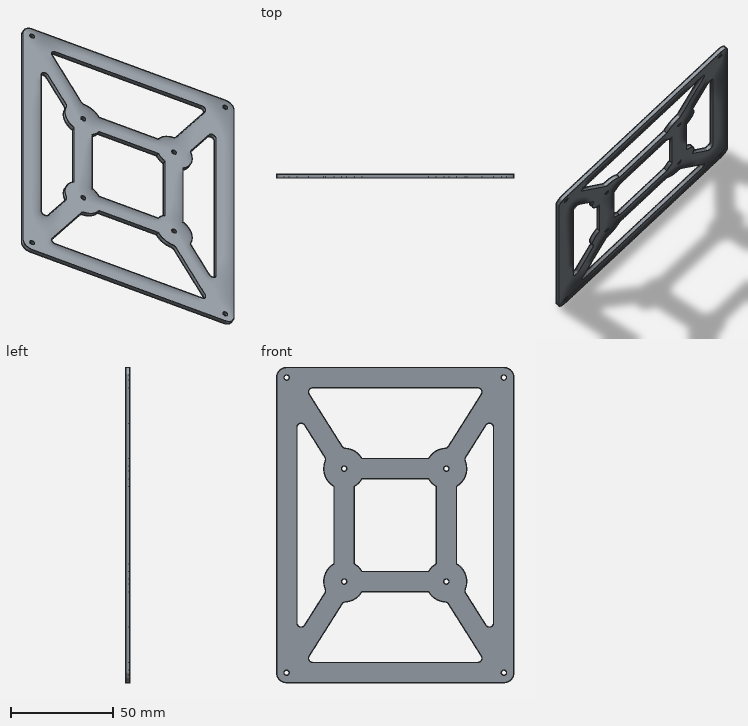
import cadquery as cq
import math

width = 116.0
height = 154.0
thickness = 2.0
corner_radius = 5.0

bar_width = 10.0
pocket_fillet = 2.0

hole_diameter = 2.5
corner_hole_inset = 5.0
boss_x = 25.0
boss_z = 27.5
boss_diameter = 2 * bar_width

corner_x = width / 2 - corner_hole_inset
corner_z = height / 2 - corner_hole_inset
opening_x = width / 2 - bar_width
opening_z = height / 2 - bar_width

boss_centres = [(sx * boss_x, sz * boss_z) for sx in (-1, 1) for sz in (-1, 1)]
corner_centres = [(sx * corner_x, sz * corner_z) for sx in (-1, 1) for sz in (-1, 1)]


def slab(length, depth, centre=(0, 0), angle=0):
    """Rectangular plate piece, turned by angle (degrees) in its own plane."""
    outline = cq.Sketch().rect(length, depth, angle=angle)
    face = cq.Workplane("XZ").center(*centre).placeSketch(outline)
    return face.extrude(thickness / 2, both=True)


def discs(centres, diameter):
    """Round plate pieces of full thickness at the given centres."""
    return cq.Workplane("XZ").pushPoints(centres).circle(diameter / 2).extrude(thickness / 2, both=True)


def strut(start, end):
    """Diagonal bar between two hole centres."""
    dx = end[0] - start[0]
    dz = end[1] - start[1]
    middle = ((start[0] + end[0]) / 2, (start[1] + end[1]) / 2)
    return slab(math.hypot(dx, dz), bar_width, middle, math.degrees(math.atan2(dz, dx)))


def at_strut_root(edge):
    """True for a through-thickness edge where a strut meets the frame or a boss."""
    point = edge.Center()
    tolerance = 0.002
    beside_boss = boss_x < abs(point.x) < opening_x + tolerance
    beyond_boss = boss_z + tolerance < abs(point.z) < opening_z + tolerance
    return beside_boss and beyond_boss


frame = slab(width, height).edges("|Y").fillet(corner_radius)
frame = frame.cut(slab(2 * opening_x, 2 * opening_z))

web = discs(boss_centres, boss_diameter)
for side in (-1, 1):
    web = web.union(slab(2 * boss_x, bar_width, (0, side * boss_z)))
    web = web.union(slab(bar_width, 2 * boss_z, (side * boss_x, 0)))

for boss, corner in zip(boss_centres, corner_centres):
    web = web.union(strut(boss, corner))

plate = frame.union(web).clean()

pocket_corners = [edge for edge in plate.edges("|Y").vals() if at_strut_root(edge)]
plate = plate.newObject(pocket_corners).fillet(pocket_fillet)

result = plate.cut(discs(boss_centres + corner_centres, hole_diameter))